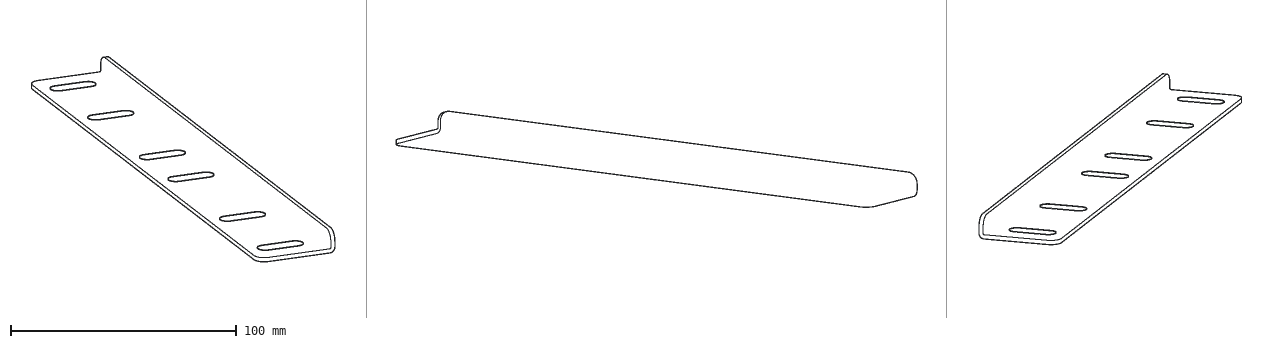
import cadquery as cq

length = 260.0
depth = 37.0
height = 10.1
thickness = 2.0

bend_inner_radius = 0.5
bend_outer_radius = bend_inner_radius + thickness
corner_radius = 5.0

slot_length = 21.5
slot_width = 7.0
slot_depth = 0.3
slot_from_front = 16.0
slot_offsets = (16.0, 74.4, 117.0)

front_y = -depth / 2
back_y = depth / 2


def bent_sheet():
    """L-shaped sheet: a flat base with an upright flange along the back."""
    inner_y = back_y - thickness
    bend_y = back_y - bend_outer_radius
    diagonal = 0.5 ** 0.5
    outer_mid = (
        bend_y + bend_outer_radius * diagonal,
        bend_outer_radius * (1 - diagonal),
    )
    inner_mid = (
        bend_y + bend_inner_radius * diagonal,
        bend_outer_radius - bend_inner_radius * diagonal,
    )
    return (
        cq.Workplane("YZ")
        .moveTo(front_y, 0)
        .lineTo(bend_y, 0)
        .threePointArc(outer_mid, (back_y, bend_outer_radius))
        .lineTo(back_y, height)
        .lineTo(inner_y, height)
        .lineTo(inner_y, bend_outer_radius)
        .threePointArc(inner_mid, (bend_y, thickness))
        .lineTo(front_y, thickness)
        .close()
        .extrude(length / 2, both=True)
    )


def round_corners(sheet):
    """Round the front base corners and the top flange corners."""
    sheet = sheet.faces("<Y").edges("|Z").fillet(corner_radius)
    return sheet.faces(">Z").edges("|Y").fillet(corner_radius)


def slot_cutters():
    """Shallow slot recesses running across the depth of the base."""
    centers = [(side * x, front_y + slot_from_front) for x in slot_offsets for side in (-1, 1)]
    return (
        cq.Workplane("XY", origin=(0, 0, thickness))
        .pushPoints(centers)
        .slot2D(slot_length, slot_width, 90)
        .extrude(-slot_depth)
    )


result = round_corners(bent_sheet()).cut(slot_cutters())